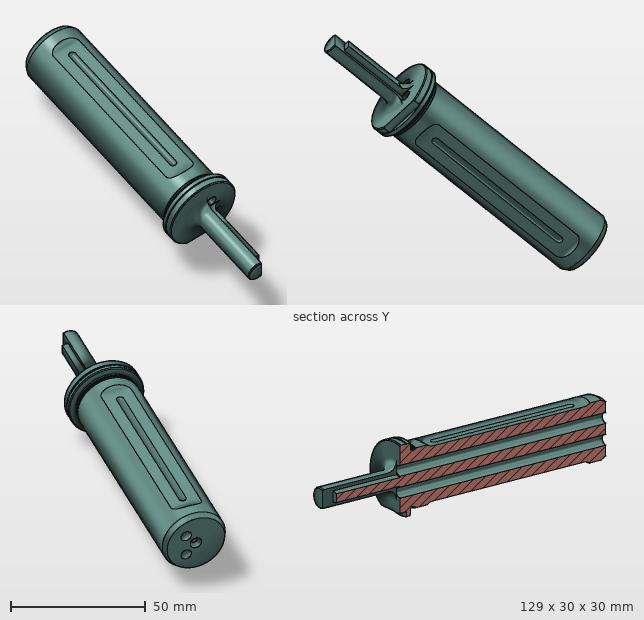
import cadquery as cq
import math

nose_length = 2.2
neck_start = 87.6
flange_start = 89.9
flange_split = 91.8
flange_end = 95.0
key_end = 124.1
total_length = 129.0

body_diameter = 25.2
flange_diameter = 30.0
body_radius = body_diameter / 2
nose_radius = 11.5
neck_radius = 12.3
flange_radius = flange_diameter / 2
shank_radius = 4.1

groove_radius = 11.9
groove_start = 88.2
groove_end = 89.1

edge_break = 0.4
root_fillet = 3.9

across_flats = 22.0
flat_height = across_flats / 2
flat_start = 9.9
flat_end = 79.9
runout_radius = 3.9

slot_start = 13.5
slot_end = 76.2
slot_radius = 1.5
slot_depth = 0.84

hole_radius = 2.0
hole_y = 3.9
hole_spacing = 8.6
hole_z = hole_spacing / 2

centre_mouth_diameter = 4.5
centre_mouth_radius = centre_mouth_diameter / 2
centre_pilot_radius = 1.2
centre_pilot_depth = 3.9
centre_cone_angle = 60
pilot_tip_angle = 118

shank_flat_y = hole_y - hole_radius
key_top_y = shank_radius
key_half_width_at_axis = 2.7
key_side_angle = 13


def turned_body():
    """Body, neck, flange and shank as one turned profile."""
    fillet_bend = root_fillet * (1 - math.sqrt(0.5))
    return (
        cq.Workplane("XZ")
        .lineTo(0, nose_radius)
        .lineTo(nose_length, body_radius)
        .lineTo(neck_start, body_radius)
        .lineTo(neck_start, neck_radius)
        .lineTo(groove_start, neck_radius)
        .lineTo(groove_start, groove_radius)
        .lineTo(groove_end, groove_radius)
        .lineTo(groove_end, neck_radius)
        .lineTo(flange_start, neck_radius)
        .lineTo(flange_start, flange_radius - edge_break)
        .lineTo(flange_start + edge_break, flange_radius)
        .lineTo(flange_split, flange_radius)
        .lineTo(flange_split, flange_radius - edge_break)
        .lineTo(flange_split + edge_break, flange_radius)
        .lineTo(flange_end - edge_break, flange_radius)
        .lineTo(flange_end, flange_radius - edge_break)
        .lineTo(flange_end, shank_radius + root_fillet)
        .threePointArc(
            (flange_end + fillet_bend, shank_radius + fillet_bend),
            (flange_end + root_fillet, shank_radius),
        )
        .lineTo(total_length - edge_break, shank_radius)
        .lineTo(total_length, shank_radius - edge_break)
        .lineTo(total_length, 0)
        .close()
        .revolve(360, (0, 0, 0), (1, 0, 0))
    )


def flat_cutter():
    """Material above the +Z flat, rounded where it runs out at each end."""
    cutter_top = flat_height + runout_radius
    return (
        cq.Workplane("XZ")
        .moveTo(flat_start, flat_height)
        .lineTo(flat_end, flat_height)
        .radiusArc((flat_end + runout_radius, cutter_top), -runout_radius)
        .lineTo(flat_start - runout_radius, cutter_top)
        .radiusArc((flat_start, flat_height), -runout_radius)
        .close()
        .extrude(body_radius, both=True)
    )


def slot_cutter():
    """Round bar with ball ends, sunk into the +Z flat."""
    slot_axis_height = flat_height - slot_depth + slot_radius
    bar = (
        cq.Workplane("YZ", origin=(slot_start, 0, slot_axis_height))
        .circle(slot_radius)
        .extrude(slot_end - slot_start)
    )
    for end in (slot_start, slot_end):
        ball = cq.Workplane("XY", origin=(end, 0, slot_axis_height)).sphere(slot_radius)
        bar = bar.union(ball)
    return bar


def flange_flat_cutter():
    """Material below the flat on the -Z side of the rear flange disc, level with the body surface."""
    return cq.Workplane("XY", origin=(flange_split, 0, -2 * body_radius)).box(
        flange_end - flange_split, 2 * flange_radius, body_radius, centered=(False, True, False)
    )


def long_holes():
    """Two parallel holes through the body and flange."""
    return (
        cq.Workplane("YZ")
        .pushPoints([(hole_y, hole_z), (hole_y, -hole_z)])
        .circle(hole_radius)
        .extrude(flange_end)
    )


def centre_hole():
    """Countersunk centre hole with a drilled pilot."""
    half_cone = math.radians(centre_cone_angle / 2)
    cone_depth = (centre_mouth_radius - centre_pilot_radius) / math.tan(half_cone)
    tip_depth = centre_pilot_radius / math.tan(math.radians(pilot_tip_angle / 2))
    return (
        cq.Workplane("XY")
        .lineTo(0, centre_mouth_radius)
        .lineTo(cone_depth, centre_pilot_radius)
        .lineTo(centre_pilot_depth, centre_pilot_radius)
        .lineTo(centre_pilot_depth + tip_depth, 0)
        .close()
        .revolve(360, (0, 0, 0), (1, 0, 0))
    )


def key_half_width(y):
    """Half the key's width along Z at the given Y: it narrows towards +Y."""
    return key_half_width_at_axis - y * math.tan(math.radians(key_side_angle))


def key_side_cutter():
    """Material above the shank flat on the +Z side of the key, up to the flange."""
    return (
        cq.Workplane("YZ", origin=(flange_end, 0, 0))
        .moveTo(shank_flat_y, key_half_width(shank_flat_y))
        .lineTo(key_top_y, key_half_width(key_top_y))
        .lineTo(flange_radius, key_half_width(key_top_y))
        .lineTo(flange_radius, flange_radius)
        .lineTo(shank_flat_y, flange_radius)
        .close()
        .extrude(total_length - flange_end)
    )


def key_bar():
    """The key, rooted at the shank axis, from the flange to its end face."""
    foot_half_width = key_half_width(0)
    top_half_width = key_half_width(key_top_y)
    return (
        cq.Workplane("YZ", origin=(flange_end, 0, 0))
        .moveTo(0, -foot_half_width)
        .lineTo(key_top_y, -top_half_width)
        .lineTo(key_top_y, top_half_width)
        .lineTo(0, foot_half_width)
        .close()
        .extrude(key_end - flange_end)
    )


def shank_end_cutter():
    """Material above the shank flat beyond the end of the key."""
    return cq.Workplane("XY", origin=(key_end, shank_flat_y, 0)).box(
        total_length - key_end, shank_radius, 2 * shank_radius, centered=(False, False, True)
    )


result = turned_body()
for cutter in (flat_cutter(), slot_cutter(), key_side_cutter()):
    result = result.cut(cutter).cut(cutter.mirror("XY"))
result = result.cut(flange_flat_cutter()).cut(long_holes()).cut(centre_hole())
result = result.union(key_bar()).cut(shank_end_cutter())